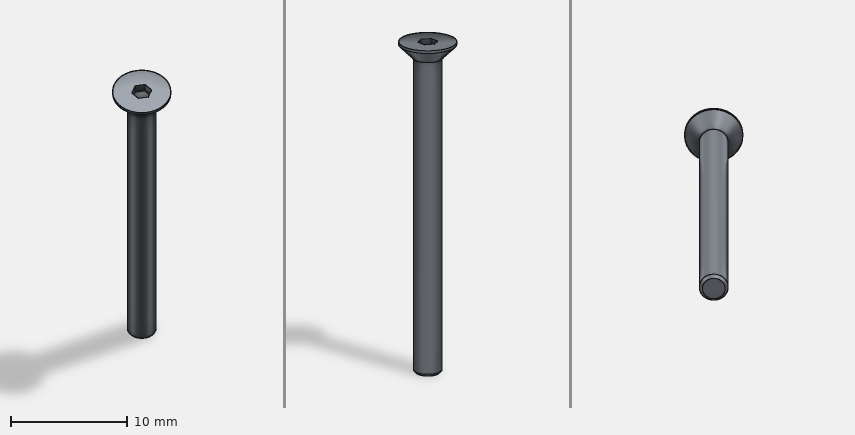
import cadquery as cq
import math

length = 30.0
head_diameter = 5.0
shank_diameter = 2.5
head_rim_height = 0.25
tip_chamfer = 0.27
socket_across_flats = 1.5
socket_depth = 0.8

head_radius = head_diameter / 2
shank_radius = shank_diameter / 2
head_height = head_rim_height + head_radius - shank_radius


def make_body():
    """Revolve the half profile of head, shank and chamfered tip."""
    return (
        cq.Workplane("XZ")
        .moveTo(0, 0)
        .lineTo(head_radius, 0)
        .lineTo(head_radius, -head_rim_height)
        .lineTo(shank_radius, -head_height)
        .lineTo(shank_radius, tip_chamfer - length)
        .lineTo(shank_radius - tip_chamfer, -length)
        .lineTo(0, -length)
        .close()
        .revolve(360, (0, 0, 0), (0, 1, 0))
    )


def make_socket():
    """Hexagonal drive recess with two corners on the X axis."""
    across_corners = socket_across_flats / math.cos(math.pi / 6)
    return cq.Workplane("XY").polygon(6, across_corners).extrude(-socket_depth)


result = make_body().cut(make_socket())